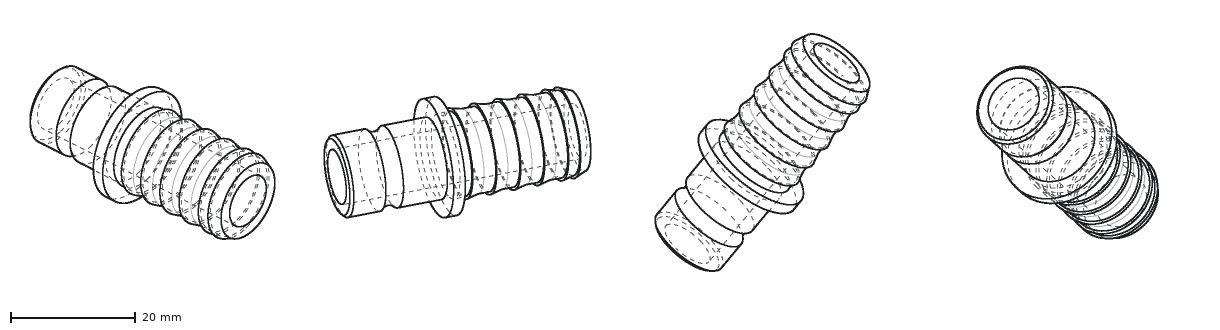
import cadquery as cq

length = 41.0
bore_diameter = 9.0

plug_radius = 6.75
plug_chamfer = 0.5
groove_start = 6.0
groove_width = 3.0
groove_depth = 0.7

flange_diameter = 19.5
flange_start = 16.5
flange_thickness = 2.0
flange_end = flange_start + flange_thickness

tail_radius = 7.0
barb_radius = 7.5
tip_radius = 6.65
barb_count = 5
segment_length = (length - flange_end) / (2 * barb_count + 1)


def revolve_about_x(profile):
    """Turn a closed half profile (X along the axis, Y as radius) about X."""
    return profile.close().revolve(360, (0, 0, 0), (1, 0, 0))


def cylinder(start, end, radius):
    """Solid cylinder along X."""
    return cq.Workplane("YZ", origin=(start, 0, 0)).circle(radius).extrude(end - start)


def cone(start, end, start_radius, end_radius):
    """Solid truncated cone along X."""
    profile = (
        cq.Workplane("XY")
        .moveTo(start, 0)
        .lineTo(start, start_radius)
        .lineTo(end, end_radius)
        .lineTo(end, 0)
    )
    return revolve_about_x(profile)


def make_plug():
    """Plug with a chamfered nose and a round-bottomed locking groove."""
    groove_middle = groove_start + groove_width / 2
    groove_end = groove_start + groove_width
    profile = (
        cq.Workplane("XY")
        .moveTo(0, 0)
        .lineTo(0, plug_radius - plug_chamfer)
        .lineTo(plug_chamfer, plug_radius)
        .lineTo(groove_start, plug_radius)
        .threePointArc((groove_middle, plug_radius - groove_depth), (groove_end, plug_radius))
        .lineTo(flange_start, plug_radius)
        .lineTo(flange_start, 0)
    )
    return revolve_about_x(profile)


def make_hose_tail():
    """Straight tail with barbs that taper toward the tip, ending in a steeper tip cone."""
    tip_start = length - segment_length
    tail = cylinder(flange_end, tip_start, tail_radius)
    for index in range(barb_count):
        barb_start = flange_end + (2 * index + 1) * segment_length
        barb_end = barb_start + segment_length
        tail = tail.union(cone(barb_start, barb_end, barb_radius, tail_radius))
    return tail.union(cone(tip_start, length, barb_radius, tip_radius))


flange = cylinder(flange_start, flange_end, flange_diameter / 2)
bore = cylinder(0, length, bore_diameter / 2)

result = make_plug().union(flange).union(make_hose_tail()).cut(bore)